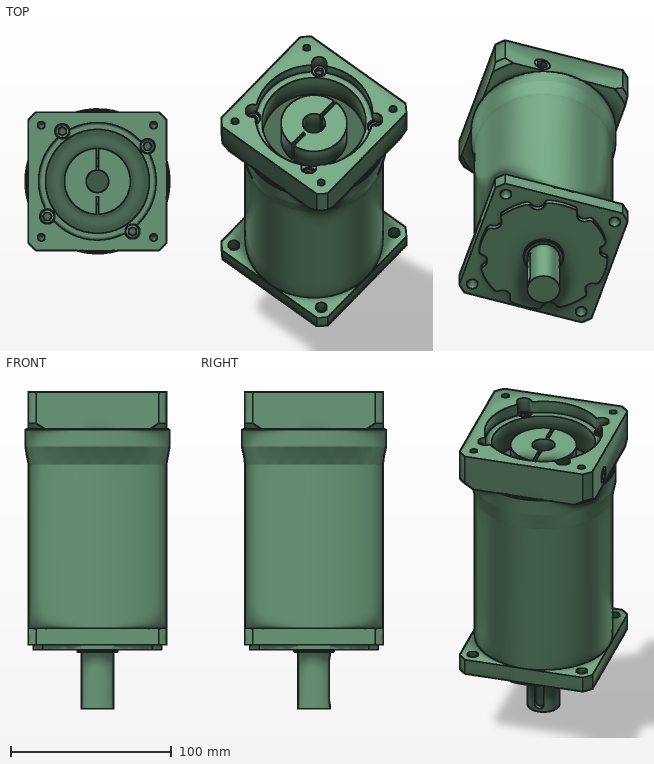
import cadquery as cq
import math


total_height = 197.0
collar_bottom = 35.0
pilot_bottom = 36.6
foot_bottom = 39.8
foot_top = 50.0
cone_bottom = 151.9
cone_top = 163.1
rim_top = 173.5
adapter_bottom = 174.1
cavity_floor = 169.6

flange_width = 86.0
body_diameter = 85.9
corner_radius = 57.5
rim_diameter = 90.0
seat_diameter = 88.0
shaft_diameter = 20.0
collar_diameter = 25.0
collar_chamfer = 0.5
pilot_diameter = 80.0
scallop_count = 8
scallop_radius = 5.0
scallop_fillet = 2.5
foot_hole_spacing = 70.7
foot_hole_diameter = 6.9
keyway_width = 6.0
keyway_length = 31.0
keyway_depth = 3.5
keyway_end_gap = 2.4

hub_diameter = 41.0
hub_top = 187.3
hub_bore_diameter = 14.0
hub_bore_depth = 29.5
sleeve_diameter = 19.0
slot_width = 1.8
slot_step_radius = 14.2
inner_slot_depth = 11.8

adapter_corner_chamfer = 3.3
bore_diameter = 64.6
register_diameter = 73.0
register_depth = 8.0
spigot_diameter = 68.2
motor_hole_spacing = 69.7
motor_hole_diameter = 4.5
motor_hole_depth = 11.8
drill_point_angle = 118.0

screw_count = 4
screw_circle_radius = 38.0
screw_start_angle = 35.0
pocket_diameter = 9.3
pocket_fillet = 1.0
head_diameter = 8.5
head_top = 187.3
head_height = 5.0
shank_diameter = 5.0
shank_length = 15.8
screw_socket_width = 4.7
screw_socket_depth = 3.0

plug_y = 14.0
plug_z = 181.0
plug_diameter = 10.0
plug_length = 7.9
plug_socket_width = 6.0
plug_socket_depth = 4.0

head_bottom = head_top - head_height
shank_bottom = head_bottom - shank_length
screw_angles = [screw_start_angle + i * 360 / screw_count for i in range(screw_count)]


def cylinder(diameter, bottom, top):
    """Cylinder on the Z axis between two heights."""
    return cq.Workplane("XY").workplane(offset=bottom).circle(diameter / 2).extrude(top - bottom)


def square_plate(bottom, top):
    """Square plate with its corners rounded about the gearbox axis."""
    plate = cq.Workplane("XY").workplane(offset=bottom).rect(flange_width, flange_width).extrude(top - bottom)
    return plate.intersect(cylinder(2 * corner_radius, bottom, top))


def at_screw(shape, angle):
    """Move a shape from the Z axis to the screw place at the given angle."""
    return shape.translate((screw_circle_radius, 0, 0)).rotate((0, 0, 0), (0, 0, 1), angle)


def hexagon_corners(width):
    """Diameter over the corners of a hexagon of the given width across flats."""
    return width / math.cos(math.pi / 6)



def make_housing():
    """Turned housing with a flared rim and a low seat for the adapter."""
    body_radius = body_diameter / 2
    profile = [
        (0, foot_top),
        (body_radius, foot_top),
        (body_radius, cone_bottom),
        (rim_diameter / 2, cone_top),
        (rim_diameter / 2, rim_top),
        (seat_diameter / 2, rim_top),
        (seat_diameter / 2, adapter_bottom),
        (0, adapter_bottom),
    ]
    housing = cq.Workplane("XZ").polyline(profile).close().revolve(360, (0, 0, 0), (0, 1, 0))
    return housing.cut(cylinder(spigot_diameter, cavity_floor, adapter_bottom))


def make_foot():
    """Square output flange with a mounting hole in each corner."""
    holes = (
        cq.Workplane("XY")
        .workplane(offset=foot_bottom)
        .rect(foot_hole_spacing, foot_hole_spacing, forConstruction=True)
        .vertices()
        .circle(foot_hole_diameter / 2)
        .extrude(foot_top - foot_bottom)
    )
    return square_plate(foot_bottom, foot_top).cut(holes)


def make_pilot():
    """Centring disc with rounded scallops around its edge."""
    pilot = cylinder(pilot_diameter, pilot_bottom, foot_bottom)
    half_pitch = 180 / scallop_count
    scallops = (
        cq.Workplane("XY")
        .workplane(offset=pilot_bottom)
        .polarArray(pilot_diameter / 2, half_pitch, 360, scallop_count)
        .circle(scallop_radius)
        .extrude(foot_bottom - pilot_bottom)
    )
    return pilot.cut(scallops).edges("|Z").fillet(scallop_fillet)


def make_output_shaft():
    """Keyed output shaft with the collar behind it."""
    shaft = cylinder(shaft_diameter, 0, collar_bottom)
    keyway = (
        cq.Workplane("XZ", origin=(0, shaft_diameter / 2, keyway_end_gap + keyway_length / 2))
        .slot2D(keyway_length, keyway_width, 90)
        .extrude(keyway_depth)
    )
    collar = cylinder(collar_diameter, collar_bottom, pilot_bottom).faces("<Z").chamfer(collar_chamfer)
    return shaft.cut(keyway).union(collar)


def slot_cutter(inner_y, outer_y, bottom):
    """Narrow cutter across the hub between two places on Y."""
    return (
        cq.Workplane("XY")
        .workplane(offset=bottom)
        .center(0, (inner_y + outer_y) / 2)
        .rect(slot_width, outer_y - inner_y)
        .extrude(hub_top - bottom)
    )


def make_hub():
    """Clamping hub, slotted on both sides; only the +Y slot opens into the bore."""
    hub_radius = hub_diameter / 2
    sleeve_radius = sleeve_diameter / 2
    inner_slot_floor = hub_top - inner_slot_depth
    hub = cylinder(hub_diameter, cavity_floor, hub_top)
    hub = hub.cut(slot_cutter(slot_step_radius, hub_radius, cavity_floor))
    hub = hub.cut(slot_cutter(-hub_radius, -slot_step_radius, cavity_floor))
    hub = hub.cut(slot_cutter(sleeve_radius, slot_step_radius, inner_slot_floor))
    hub = hub.cut(slot_cutter(-slot_step_radius, -sleeve_radius, inner_slot_floor))
    return hub.cut(slot_cutter(0, sleeve_radius, cavity_floor))


def make_gearbox():
    gearbox = make_housing().union(make_foot()).union(make_pilot())
    gearbox = gearbox.union(make_output_shaft()).union(make_hub())
    gearbox = gearbox.cut(cylinder(hub_bore_diameter, hub_top - hub_bore_depth, hub_top))
    screw_hole = cylinder(shank_diameter, shank_bottom, adapter_bottom)
    for angle in screw_angles:
        gearbox = gearbox.cut(at_screw(screw_hole, angle))
    return gearbox



def make_motor_hole():
    """Blind hole with a drill point, as a cutter on the Z axis."""
    radius = motor_hole_diameter / 2
    shoulder = total_height - motor_hole_depth
    tip = shoulder - radius / math.tan(math.radians(drill_point_angle / 2))
    profile = [(0, tip), (radius, shoulder), (radius, total_height), (0, total_height)]
    return cq.Workplane("XZ").polyline(profile).close().revolve(360, (0, 0, 0), (0, 1, 0))


def make_register():
    """Cutter for the motor register and the screw pockets, which open into it."""
    register_bottom = total_height - register_depth
    register = cylinder(register_diameter, register_bottom, total_height)
    pocket = cylinder(pocket_diameter, register_bottom, total_height)
    for angle in screw_angles:
        register = register.union(at_screw(pocket, angle))
    return register.edges("|Z").fillet(pocket_fillet)


def make_adapter():
    """Square adapter whose spigot sits in the gearbox recess."""
    blank = square_plate(adapter_bottom, total_height)
    corner_cone = cylinder(2 * corner_radius, adapter_bottom, total_height)
    blank = blank.intersect(corner_cone.faces("<Z").chamfer(adapter_corner_chamfer))
    adapter = blank.union(cylinder(spigot_diameter, cavity_floor, adapter_bottom))
    adapter = adapter.cut(cylinder(bore_diameter, cavity_floor, total_height)).cut(make_register())

    pocket = cylinder(pocket_diameter, head_bottom, total_height - register_depth)
    screw_hole = cylinder(shank_diameter, adapter_bottom, head_bottom)
    for angle in screw_angles:
        adapter = adapter.cut(at_screw(pocket.union(screw_hole), angle))

    motor_hole = make_motor_hole()
    for x_side in (-1, 1):
        for y_side in (-1, 1):
            place = (x_side * motor_hole_spacing / 2, y_side * motor_hole_spacing / 2, 0)
            adapter = adapter.cut(motor_hole.translate(place))
    return adapter.cut(plug_blank())



def plug_plane():
    """Workplane on the -X side of the adapter at the plug centre, facing into the part."""
    return cq.Workplane("YZ", origin=(-flange_width / 2, plug_y, plug_z))


def plug_blank():
    return plug_plane().circle(plug_diameter / 2).extrude(plug_length)


def make_plug():
    """Flush plug with a hexagon socket that has corners at top and bottom."""
    socket = plug_plane().polygon(6, hexagon_corners(plug_socket_width)).extrude(plug_socket_depth)
    upright_socket = socket.rotate((0, plug_y, plug_z), (1, plug_y, plug_z), 30)
    return plug_blank().cut(upright_socket)



def make_screw(angle):
    """Socket head screw at the given angle around the axis."""
    socket = (
        cq.Workplane("XY")
        .workplane(offset=head_top - screw_socket_depth)
        .polygon(6, hexagon_corners(screw_socket_width))
        .extrude(screw_socket_depth)
        .rotate((0, 0, 0), (0, 0, 1), -screw_start_angle)
    )
    head = cylinder(head_diameter, head_bottom, head_top).cut(socket)
    return at_screw(head.union(cylinder(shank_diameter, shank_bottom, head_bottom)), angle)


gearbox = make_gearbox()
adapter = make_adapter()
plug = make_plug()
screws = [make_screw(angle) for angle in screw_angles]

result = cq.Compound.makeCompound(
    [gearbox.val(), adapter.val(), plug.val(), *[screw.val() for screw in screws]]
)